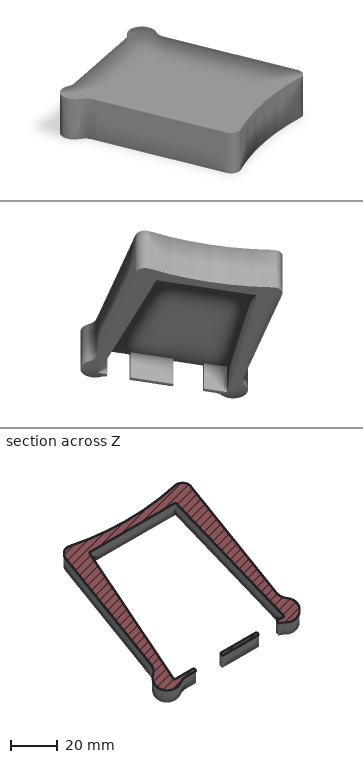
import cadquery as cq
import math

length = 85.0
width = 73.5
height = 19.5

post_radius = 6.3
blend_radius = 6.5
corner_radius = 4.25
rear_wall_x = 2.3
side_y = 32.4
hollow_x = 81.8

roof_thickness = 6.3
cavity_depth = height - roof_thickness
rear_wall_thickness = 1.8
cavity_end_x = 77.3
cavity_rear_half_width = 28.3
cavity_front_half_width = 22.3
notches = [(-24.4, -14.3), (4.8, 18.1)]


def point_between(start, end, distance):
    """Point lying a given distance from start, in the direction of end."""
    ratio = distance / math.dist(start, end)
    return (start[0] + ratio * (end[0] - start[0]), start[1] + ratio * (end[1] - start[1]))


def arc_middle(center, start, end, radius):
    """Middle of the minor arc from start to end."""
    chord_middle = ((start[0] + end[0]) / 2, (start[1] + end[1]) / 2)
    return point_between(center, chord_middle, radius)


def mirrored(point):
    return (point[0], -point[1])


def outer_body():
    post = (post_radius, width / 2 - post_radius)
    corner = (length - corner_radius, side_y - corner_radius)

    reach = post_radius + blend_radius
    rear_blend_x = rear_wall_x - blend_radius
    rear_blend = (rear_blend_x, post[1] - math.sqrt(reach**2 - (post[0] - rear_blend_x)**2))
    side_blend_y = side_y + blend_radius
    side_blend = (post[0] + math.sqrt(reach**2 - (side_blend_y - post[1])**2), side_blend_y)

    inset = hollow_x - corner[0]
    hollow_radius = (corner[1]**2 + inset**2 - corner_radius**2) / (2 * (corner_radius - inset))
    hollow_center = (hollow_x + hollow_radius, 0)

    rear_end = (rear_wall_x, rear_blend[1])
    post_start = point_between(post, rear_blend, post_radius)
    post_end = point_between(post, side_blend, post_radius)
    side_start = (side_blend[0], side_y)
    side_end = (corner[0], side_y)
    corner_end = point_between(corner, hollow_center, corner_radius)

    rear_blend_middle = arc_middle(rear_blend, rear_end, post_start, blend_radius)
    outward = (post[0] - post_radius, post[1] + post_radius)
    post_middle = point_between(post, outward, post_radius)
    side_blend_middle = arc_middle(side_blend, post_end, side_start, blend_radius)
    corner_middle = arc_middle(corner, side_end, corner_end, corner_radius)

    return (
        cq.Workplane("XY")
        .moveTo(*mirrored(rear_end))
        .lineTo(*rear_end)
        .threePointArc(rear_blend_middle, post_start)
        .threePointArc(post_middle, post_end)
        .threePointArc(side_blend_middle, side_start)
        .lineTo(*side_end)
        .threePointArc(corner_middle, corner_end)
        .threePointArc((hollow_x, 0), mirrored(corner_end))
        .threePointArc(mirrored(corner_middle), mirrored(side_end))
        .lineTo(*mirrored(side_start))
        .threePointArc(mirrored(side_blend_middle), mirrored(post_end))
        .threePointArc(mirrored(post_middle), mirrored(post_start))
        .threePointArc(mirrored(rear_blend_middle), mirrored(rear_end))
        .close()
        .extrude(height)
    )


def cavity():
    """Pocket that narrows toward the concave end."""
    start_x = rear_wall_x + rear_wall_thickness
    return (
        cq.Workplane("XY")
        .polyline([
            (start_x, -cavity_rear_half_width),
            (cavity_end_x, -cavity_front_half_width),
            (cavity_end_x, cavity_front_half_width),
            (start_x, cavity_rear_half_width),
        ])
        .close()
        .extrude(cavity_depth)
    )


def notch(start_y, end_y):
    """Opening through the rear wall into the cavity."""
    depth = rear_wall_x + rear_wall_thickness
    return (
        cq.Workplane("XY")
        .box(depth, end_y - start_y, cavity_depth, centered=False)
        .translate((0, start_y, 0))
    )


result = outer_body().cut(cavity())
for start_y, end_y in notches:
    result = result.cut(notch(start_y, end_y))